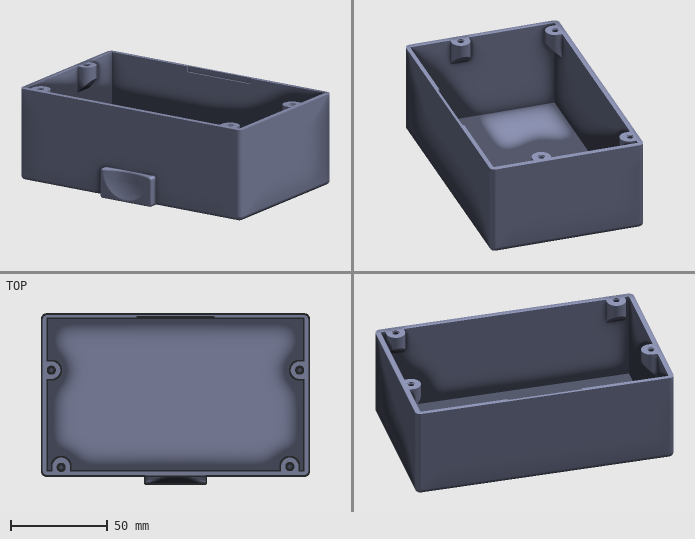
import cadquery as cq

length = 139.0
width = 84.2
height = 49.5
side_wall = 2.8
front_wall = 2.8
back_wall = 2.2
floor = 2.0
corner_radius = 2.8
bottom_radius = 2.5

boss_radius = 5.0
hole_diameter = 3.0
hole_depth = 8.3
counterbore_diameter = 3.9
counterbore_depth = 0.4
boss_root_height = 14.2
boss_reach = 10.1
side_boss_from_back = 29.2
side_hole_inset = 5.0
front_boss_from_side = 10.1
left_front_hole_inset = 4.6
right_front_hole_inset = 5.0

latch_length = 39.8
latch_depth = 0.8
latch_height = 3.0

grip_length = 32.1
grip_depth = 4.2
grip_height = 16.0
grip_corner_radius = 1.4
grip_edge_radius = 1.0
scoop_radius = 14.3
scoop_depth = 3.5
scoop_drop = 0.4


def make_box():
    outer = cq.Workplane("XY").box(length, width, height, centered=(True, True, False))
    outer = outer.edges("|Z").fillet(corner_radius)
    outer = outer.faces("<Z").edges().fillet(bottom_radius)
    cavity = cq.Workplane("XY", origin=(0, -width / 2 + front_wall, floor)).box(
        length - 2 * side_wall, width - front_wall - back_wall, height, centered=(True, False, False)
    )
    return outer.cut(cavity)


def make_boss(wall):
    """Boss reaching along +X from a wall whose outer face is at X = 0, with a 45 degree underside."""
    arc_center = boss_reach - boss_radius
    embed = wall / 2
    tip_height = boss_root_height - (boss_reach - wall)
    outline = (
        cq.Workplane("XY")
        .moveTo(embed, -boss_radius)
        .lineTo(arc_center, -boss_radius)
        .threePointArc((boss_reach, 0), (arc_center, boss_radius))
        .lineTo(embed, boss_radius)
        .close()
        .extrude(height)
    )
    profile = (
        cq.Workplane("XZ")
        .polyline([
            (embed, height),
            (boss_reach, height),
            (boss_reach, height - tip_height),
            (wall, height - boss_root_height),
            (embed, height - boss_root_height),
        ])
        .close()
        .extrude(boss_radius, both=True)
    )
    return outline.intersect(profile)


def make_grip():
    """Rounded block on the front wall with a spherical finger scoop open at the top."""
    front = -width / 2 - grip_depth
    block = cq.Workplane("XY", origin=(0, front, 0)).box(
        grip_length, grip_depth + front_wall / 2, grip_height, centered=(True, False, False)
    )
    sphere_radius = (scoop_radius**2 + scoop_depth**2) / (2 * scoop_depth)
    scoop_center = (0, front + scoop_depth - sphere_radius, grip_height - scoop_drop)
    block = block.edges("|Y").fillet(grip_corner_radius)
    grip = block.cut(cq.Workplane("XY").sphere(sphere_radius).translate(scoop_center))
    return grip.edges("not (>Y or |Y)").fillet(grip_edge_radius)


box = make_box()

side_y = width / 2 - side_boss_from_back
front_x = length / 2 - front_boss_from_side
side_boss = make_boss(side_wall)
front_boss = make_boss(front_wall).rotate((0, 0, 0), (0, 0, 1), 90)
box = box.union(side_boss.translate((-length / 2, side_y, 0)))
box = box.union(side_boss.rotate((0, 0, 0), (0, 0, 1), 180).translate((length / 2, side_y, 0)))
for side in (-1, 1):
    box = box.union(front_boss.translate((side * front_x, -width / 2, 0)))

hole_places = []
for side, front_inset in ((-1, left_front_hole_inset), (1, right_front_hole_inset)):
    hole_places.append((side * (length / 2 - side_hole_inset), side_y))
    hole_places.append((side * front_x, -width / 2 + front_inset))
box = (
    box.copyWorkplane(cq.Workplane("XY", origin=(0, 0, height)))
    .pushPoints(hole_places)
    .cboreHole(hole_diameter, counterbore_diameter, counterbore_depth, hole_depth)
)

latch = cq.Workplane("XY", origin=(0, width / 2 - back_wall, height - latch_height)).box(
    latch_length, latch_depth, latch_height, centered=(True, False, False)
)
box = box.cut(latch)

result = box.union(make_grip())